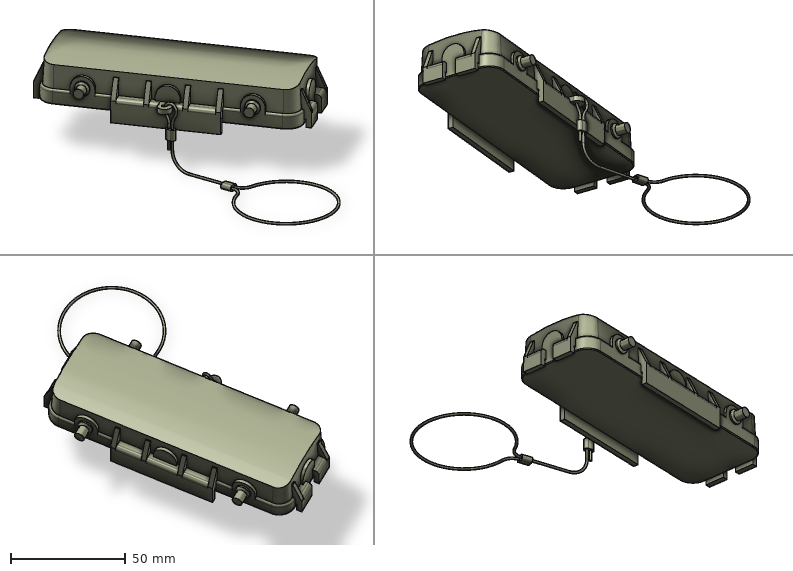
import cadquery as cq
import math

OVERALL_LENGTH = 148.0

RIM_LENGTH = 119.5
RIM_WIDTH = 42.9
RIM_CORNER = 7.7
RIM_HEIGHT = 7.1
RIM_ROUND = 1.0
RIM_CHAMFER = 0.5
RIM_LEDGE = 1.2
WALL_TAPER = 3.0
CROWN_HEIGHT = 20.9
DOME_DROP = 2.8

WALL_LENGTH = RIM_LENGTH - 2 * RIM_LEDGE
WALL_WIDTH = RIM_WIDTH - 2 * RIM_LEDGE
WALL_CORNER = RIM_CORNER - RIM_LEDGE
ROOT_DEPTH = 3.3

CLIP_OVERHANG = 3.3
CLIP_THICKNESS = 2.5
CLIP_ROUND = 1.9
CLIP_SHOULDER_BOTTOM = 2.4
LONG_CLIP_LENGTH = 49.9
LONG_CLIP_BOTTOM = -4.3
LONG_RIB_WIDTH = 2.4
INNER_RIB_OFFSET = 8.9
LONG_RIB_TOP = 15.5
END_CLIP_LENGTH = 10.0
END_CLIP_BOTTOM = -1.5
END_CLIP_OFFSET = 8.5
END_RIB_WIDTH = 2.0
END_RIB_TOP = 16.0
RIB_TOE = 6.2

BOSS_RADIUS = 5.6
LONG_BOSS_HEIGHT = 9.2
END_BOSS_HEIGHT = 9.9
PIN_OFFSET = 38.6
PIN_DIAMETER = 4.7
PIN_REACH = 28.0
COLLAR_DIAMETER = 7.0
COLLAR_LENGTH = 0.7
COLLAR_CONE = 0.9

TAB_WIDTH = 6.5
TAB_CENTRE = (0, -26.5)
TAB_BOTTOM = 4.6
HOLE_DIAMETER = 2.0
HOLE_CENTRE = (-0.5, -25.9)

CORD_DIAMETER = 1.2
CORD_ANGLE = -20.0
CORD_ORIGIN = (0, -25.9)
CORD_LEVEL = -22.2
EYE_RADIUS = 3.0
EYE_CENTRE = (3.1, 6.0)
EYE_NECK = -0.7
TAIL_BOTTOM = -13.2
RING_RADIUS = 23.1

STRAND_GAP = 1.8
CRIMP_DIAMETER = 3.0
CRIMP_LENGTH = 5.2
EYE_CRIMP_TOP = -3.0
RING_CRIMP_START = 32.1
RING_TAIL = 0.6

heading = math.radians(CORD_ANGLE)
along = cq.Vector(math.cos(heading), math.sin(heading), 0)
hanging_plane = cq.Plane(
    origin=(*CORD_ORIGIN, 0), xDir=along, normal=along.cross(cq.Vector(0, 0, 1))
)


def make_shell():
    rim = (
        cq.Workplane("XY")
        .rect(RIM_LENGTH, RIM_WIDTH)
        .extrude(RIM_HEIGHT)
        .edges("|Z")
        .fillet(RIM_CORNER)
        .faces(">Z")
        .edges()
        .fillet(RIM_ROUND)
        .faces("<Z")
        .edges()
        .chamfer(RIM_CHAMFER)
    )
    outline = cq.Sketch().rect(WALL_LENGTH, WALL_WIDTH).vertices().fillet(WALL_CORNER)
    walls = (
        cq.Workplane("XY", origin=(0, 0, RIM_HEIGHT - RIM_ROUND))
        .placeSketch(outline)
        .extrude(CROWN_HEIGHT, taper=WALL_TAPER)
    )
    edge_height = CROWN_HEIGHT - DOME_DROP
    dome = (
        cq.Workplane("YZ")
        .moveTo(-WALL_WIDTH / 2, 0)
        .lineTo(-WALL_WIDTH / 2, edge_height)
        .threePointArc((0, CROWN_HEIGHT), (WALL_WIDTH / 2, edge_height))
        .lineTo(WALL_WIDTH / 2, 0)
        .close()
        .extrude(RIM_LENGTH / 2, both=True)
    )
    return rim.union(walls.intersect(dome))


def side_profile(centre, width):
    """Sketch plane for a slice extruded toward -X: first axis outward, second axis up."""
    return cq.Workplane(
        cq.Plane(origin=(centre + width / 2, 0, 0), xDir=(0, -1, 0), normal=(-1, 0, 0))
    )


def make_clip(face, centre, length, bottom):
    outer = face + CLIP_OVERHANG
    inner = outer - CLIP_THICKNESS
    root = face - ROOT_DEPTH
    arc_step = CLIP_ROUND * (1 - math.sqrt(0.5))
    return (
        side_profile(centre, length)
        .moveTo(root, CLIP_SHOULDER_BOTTOM)
        .lineTo(inner, CLIP_SHOULDER_BOTTOM)
        .lineTo(inner, bottom)
        .lineTo(outer, bottom)
        .lineTo(outer, RIM_HEIGHT - CLIP_ROUND)
        .threePointArc(
            (outer - arc_step, RIM_HEIGHT - arc_step), (outer - CLIP_ROUND, RIM_HEIGHT)
        )
        .lineTo(root, RIM_HEIGHT)
        .close()
        .extrude(length)
    )


def make_rib(face, centre, width, top):
    outer = face + CLIP_OVERHANG
    wall = face - RIM_LEDGE
    root = face - ROOT_DEPTH
    foot = RIM_HEIGHT - CLIP_ROUND
    return (
        side_profile(centre, width)
        .polyline([(root, foot), (outer, foot), (outer, RIB_TOE), (wall, top), (root, top)])
        .close()
        .extrude(width)
    )


def make_boss(face, centre, height):
    foot = RIM_HEIGHT - RIM_ROUND
    return (
        cq.Workplane("XZ", origin=(centre, ROOT_DEPTH - face, 0))
        .moveTo(-BOSS_RADIUS, foot)
        .lineTo(-BOSS_RADIUS, height)
        .threePointArc((0, height + BOSS_RADIUS), (BOSS_RADIUS, height))
        .lineTo(BOSS_RADIUS, foot)
        .close()
        .extrude(ROOT_DEPTH)
    )


def make_pin(face, centre):
    collar_end = face + COLLAR_LENGTH
    cone_end = collar_end + COLLAR_CONE
    return (
        cq.Workplane("XY", origin=(centre, 0, LONG_BOSS_HEIGHT))
        .polyline([
            (0, RIM_LEDGE - face),
            (COLLAR_DIAMETER / 2, RIM_LEDGE - face),
            (COLLAR_DIAMETER / 2, -collar_end),
            (PIN_DIAMETER / 2, -cone_end),
            (PIN_DIAMETER / 2, -PIN_REACH),
            (0, -PIN_REACH),
        ])
        .close()
        .revolve(360, (0, 0, 0), (0, 1, 0))
    )


def long_side_features():
    face = RIM_WIDTH / 2
    end_rib_offset = (LONG_CLIP_LENGTH - LONG_RIB_WIDTH) / 2
    parts = [
        make_clip(face, 0, LONG_CLIP_LENGTH, LONG_CLIP_BOTTOM),
        make_boss(face, 0, LONG_BOSS_HEIGHT),
    ]
    for sign in (-1, 1):
        for offset in (INNER_RIB_OFFSET, end_rib_offset):
            parts.append(make_rib(face, sign * offset, LONG_RIB_WIDTH, LONG_RIB_TOP))
        parts.append(make_boss(face, sign * PIN_OFFSET, LONG_BOSS_HEIGHT))
        parts.append(make_pin(face, sign * PIN_OFFSET))
    return parts


def end_features():
    face = RIM_LENGTH / 2
    rib_offset = END_CLIP_OFFSET + (END_CLIP_LENGTH - END_RIB_WIDTH) / 2
    parts = [make_boss(face, 0, END_BOSS_HEIGHT)]
    for sign in (-1, 1):
        parts.append(make_clip(face, sign * END_CLIP_OFFSET, END_CLIP_LENGTH, END_CLIP_BOTTOM))
        parts.append(make_rib(face, sign * rib_offset, END_RIB_WIDTH, END_RIB_TOP))
    return parts


def make_tab():
    centre_x, centre_y = TAB_CENTRE
    root_length = -centre_y - RIM_WIDTH / 2
    thickness = RIM_HEIGHT - TAB_BOTTOM
    strip = (
        cq.Workplane("XY", origin=(centre_x, centre_y + root_length / 2, TAB_BOTTOM))
        .rect(TAB_WIDTH, root_length)
        .extrude(thickness)
    )
    tip = (
        cq.Workplane("XY", origin=(centre_x, centre_y, TAB_BOTTOM))
        .circle(TAB_WIDTH / 2)
        .extrude(thickness)
    )
    hole = (
        cq.Workplane("XY", origin=(*HOLE_CENTRE, TAB_BOTTOM))
        .circle(HOLE_DIAMETER / 2)
        .extrude(thickness)
    )
    return strip.union(tip).cut(hole)


def sweep_cord(path, start, direction):
    """Round cord along a path that leaves its start point in the given direction."""
    return (
        cq.Workplane(cq.Plane(origin=start, normal=direction))
        .circle(CORD_DIAMETER / 2)
        .sweep(path)
    )


def make_hanging_cord():
    eye_x, eye_z = EYE_CENTRE
    tail_x = eye_x - STRAND_GAP / 2
    main_x = eye_x + STRAND_GAP / 2
    bend = TAIL_BOTTOM - CORD_LEVEL
    bend_chord = bend * math.sqrt(0.5)
    path = (
        cq.Workplane(hanging_plane)
        .moveTo(tail_x, TAIL_BOTTOM)
        .lineTo(tail_x, EYE_NECK)
        .spline([(eye_x - EYE_RADIUS, eye_z)], tangents=[(0, 1), (0, 1)], includeCurrent=True)
        .threePointArc((eye_x, eye_z + EYE_RADIUS), (eye_x + EYE_RADIUS, eye_z))
        .spline([(main_x, EYE_NECK)], tangents=[(0, -1), (0, -1)], includeCurrent=True)
        .lineTo(main_x, TAIL_BOTTOM)
        .threePointArc(
            (main_x + bend - bend_chord, TAIL_BOTTOM - bend_chord), (main_x + bend, CORD_LEVEL)
        )
        .lineTo(RING_CRIMP_START + CRIMP_LENGTH, CORD_LEVEL)
    )
    return sweep_cord(path, hanging_plane.toWorldCoords((tail_x, TAIL_BOTTOM)), (0, 0, 1))


ring_plane = cq.Plane(
    origin=hanging_plane.toWorldCoords((0, CORD_LEVEL, STRAND_GAP / 2)), xDir=along, normal=(0, 0, 1)
)
ring_centre_x = OVERALL_LENGTH - RIM_LENGTH / 2 - CLIP_OVERHANG - RING_RADIUS - CORD_DIAMETER / 2
ring_distance = (ring_centre_x - ring_plane.origin.x) / along.x


def make_ring():
    strand = STRAND_GAP / 2
    tail_start = RING_CRIMP_START - RING_TAIL
    neck = RING_CRIMP_START + CRIMP_LENGTH
    reach = ring_distance - neck
    bend = (reach**2 + strand**2 - RING_RADIUS**2) / (2 * (RING_RADIUS - strand))
    turn = math.atan2(reach, strand + bend)
    bend_end = (neck + bend * math.sin(turn), strand + bend * (1 - math.cos(turn)))
    bend_middle = (neck + bend * math.sin(turn / 2), strand + bend * (1 - math.cos(turn / 2)))
    path = (
        cq.Workplane(ring_plane)
        .moveTo(tail_start, -strand)
        .lineTo(neck, -strand)
        .threePointArc((bend_middle[0], -bend_middle[1]), (bend_end[0], -bend_end[1]))
        .threePointArc((ring_distance + RING_RADIUS, 0), bend_end)
        .threePointArc(bend_middle, (neck, strand))
        .lineTo(RING_CRIMP_START, strand)
    )
    return sweep_cord(path, ring_plane.toWorldCoords((tail_start, -strand)), along)


def make_crimp(start, direction, across):
    return (
        cq.Workplane(cq.Plane(origin=start, xDir=across, normal=direction))
        .slot2D(STRAND_GAP + CRIMP_DIAMETER, CRIMP_DIAMETER)
        .extrude(CRIMP_LENGTH)
    )


def make_crimps():
    eye_start = hanging_plane.toWorldCoords((EYE_CENTRE[0], EYE_CRIMP_TOP))
    ring_start = ring_plane.toWorldCoords((RING_CRIMP_START, 0))
    return [
        make_crimp(eye_start, (0, 0, -1), along),
        make_crimp(ring_start, along, ring_plane.yDir),
    ]


lid = make_shell()
for side_parts, first_turn in ((long_side_features(), 0), (end_features(), 90)):
    for part in side_parts:
        for turn in (first_turn, first_turn + 180):
            lid = lid.union(part.rotate((0, 0, 0), (0, 0, 1), turn))

lid = lid.union(make_tab())
for part in [make_hanging_cord(), make_ring(), *make_crimps()]:
    lid = lid.union(part)

result = lid